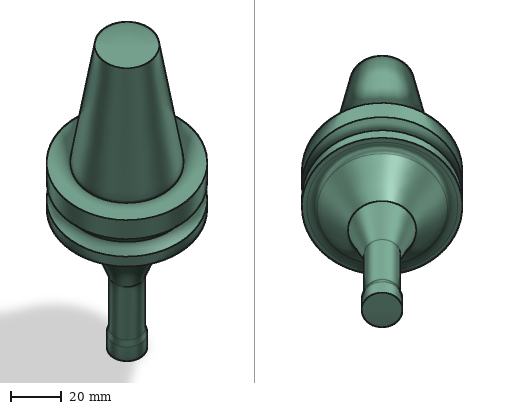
import cadquery as cq

head_diameter = 16.0
shank_diameter = 14.5
nose_diameter = 26.8
nose_root_diameter = 54.2
flange_diameter = 63.0
groove_diameter = 53.0
taper_large_diameter = 44.5
taper_small_diameter = 25.4

head_top = 8.2
shank_bottom = 11.2
shank_top = 41.2
nose_bottom = 60.0
flange_bottom = 77.9
groove_lower_edge = 83.5
groove_floor_bottom = 86.5
groove_floor_top = 90.5
groove_upper_edge = 93.4
flange_top = 104.1
taper_bottom = 105.1
total_height = 170.4

nose_fillet_radius = 5.1

outline = [
    (head_diameter, 0),
    (head_diameter, head_top),
    (shank_diameter, shank_bottom),
    (shank_diameter, shank_top),
    (nose_diameter, nose_bottom),
    (nose_root_diameter, flange_bottom),
    (flange_diameter, flange_bottom),
    (flange_diameter, groove_lower_edge),
    (groove_diameter, groove_floor_bottom),
    (groove_diameter, groove_floor_top),
    (flange_diameter, groove_upper_edge),
    (flange_diameter, flange_top),
    (taper_large_diameter, flange_top),
    (taper_large_diameter, taper_bottom),
    (taper_small_diameter, total_height),
]

profile = cq.Workplane("XZ").moveTo(0, 0)
for diameter, height in outline:
    profile = profile.lineTo(diameter / 2, height)
body = profile.lineTo(0, total_height).close().revolve(360, (0, 0, 0), (0, 1, 0))

flange_underside = body.faces("|Z").faces(">Z[1]")
nose_root_edge = flange_underside.edges(cq.selectors.RadiusNthSelector(0))
result = nose_root_edge.fillet(nose_fillet_radius)